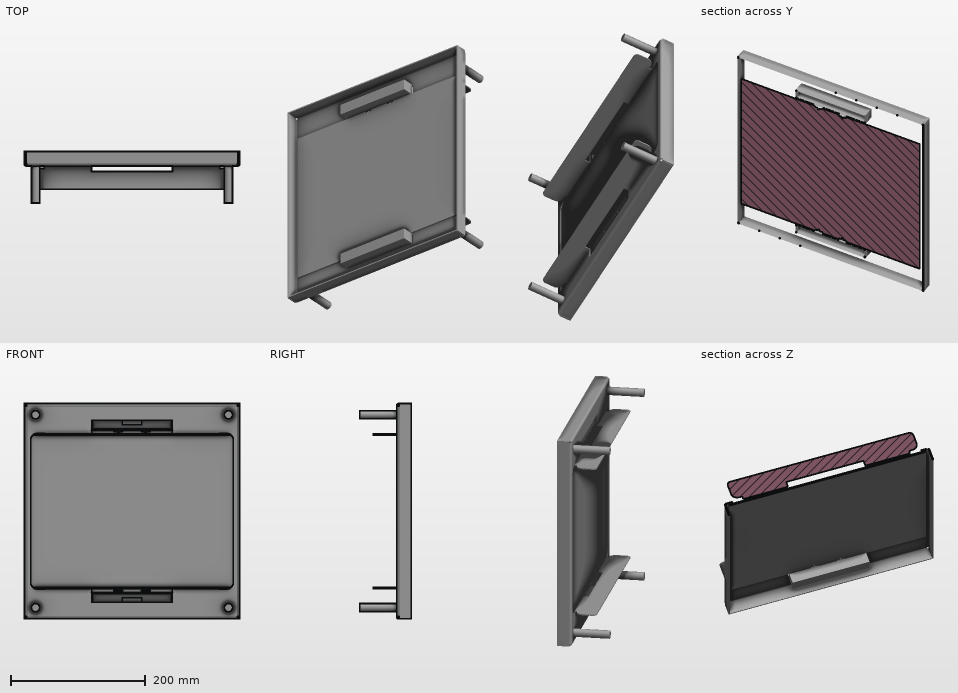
import cadquery as cq


TRAY_SIDE = 320.0
TRAY_DEPTH = 22.0
SHEET = 2.0
TRAY_BEND = 1.5
TRAY_CORNER = TRAY_BEND + SHEET
FLAT_SIDE = TRAY_SIDE - 2 * TRAY_CORNER
CORNER_GAP = 0.3

WINDOW_WIDTH = 301.5
WINDOW_HEIGHT = 231.7
WINDOW_RADIUS = 11.0
NOTCH_WIDTH = 120.0
NOTCH_TOP = 135.0

FLAP_WIDTH = 290.2
FLAP_BEND = 1.0
FLAP_TOP = WINDOW_HEIGHT / 2 - FLAP_BEND
FLAP_BACK = -3.5
FLAP_FRONT = -34.5
FLAP_BACK_RADIUS = 10.0
FLAP_FRONT_RADIUS = 6.0
FLAP_ROOT_WIDTH = 261.0
FLAP_NOTCH_FRONT = -7.7

REAR_PLANE = 3.2

POCKET_FLOOR_TOP = 122.2
POCKET_BOSS_WIDTH = 28.8
POCKET_BOSS_BOTTOM = 128.5
POCKET_BOSS_DEPTH = 2.0

PANEL_WIDTH = 307.2
PANEL_HEIGHT = 240.0
PANEL_THICKNESS = 3.0

CUT_SPACING = 40.5
CUT_WIDTH = 12.0
CUT_DEPTH = 2.0
CUT_STEM_WIDTH = 1.5
CUT_STEM_DEPTH = 3.2

PIN_SPACING = 286.5
PIN_DIAMETER = 12.5
PIN_LENGTH = 55.0


def block(x_range, y_range, z_range):
    """Box filling the given (low, high) ranges."""
    low, high = zip(x_range, y_range, z_range)
    size = [end - start for start, end in zip(low, high)]
    return cq.Workplane("XY").box(*size, centered=False).translate(low)


def centered(width):
    """Range of the given width about zero."""
    return (-width / 2, width / 2)


def both_halves(upper):
    """The upper feature together with its mirror image below Z = 0."""
    return [upper, upper.mirror("XY")]


def bend(length, inner_radius, center, y_range, z_range):
    """Quarter ring of sheet along X: the part of a tube around (Y, Z) center inside the given ranges."""
    tube = (
        cq.Workplane("YZ", origin=(-length / 2, *center))
        .circle(inner_radius + SHEET)
        .circle(inner_radius)
        .extrude(length)
    )
    return tube.intersect(block(centered(length), y_range, z_range))


def make_rim(flange_length):
    """Bend and flange along the upper edge of the tray."""
    flat_edge = FLAT_SIDE / 2
    outside = TRAY_SIDE / 2
    corner = bend(FLAT_SIDE, TRAY_BEND, (TRAY_CORNER, flat_edge), (0, TRAY_CORNER), (flat_edge, outside))
    flange = block(centered(flange_length), (TRAY_CORNER, TRAY_DEPTH), (outside - SHEET, outside))
    return corner.union(flange)


def make_flap():
    """Upper flap with its bend; the notch splits the bend into two roots."""
    underside = FLAP_TOP - SHEET
    window_edge = WINDOW_HEIGHT / 2
    thickness = (underside, FLAP_TOP)
    bend_heights = (underside, window_edge)
    root_bend = bend(FLAP_ROOT_WIDTH, FLAP_BEND, (-FLAP_BEND, window_edge), (-FLAP_BEND, SHEET), bend_heights)
    root = block(centered(FLAP_ROOT_WIDTH), (FLAP_BACK, -FLAP_BEND), thickness)
    blade = block(centered(FLAP_WIDTH), (FLAP_FRONT, FLAP_BACK), thickness)
    blade = blade.edges("|Z and >Y").fillet(FLAP_BACK_RADIUS)
    blade = blade.edges("|Z and <Y").fillet(FLAP_FRONT_RADIUS)
    notch = block(centered(NOTCH_WIDTH), (FLAP_NOTCH_FRONT, SHEET), bend_heights)
    return blade.union(root).union(root_bend).cut(notch)


def make_tray():
    plate_depth = (0, SHEET)
    tray = block(centered(FLAT_SIDE), plate_depth, centered(FLAT_SIDE))
    window = block(centered(WINDOW_WIDTH), plate_depth, centered(WINDOW_HEIGHT))
    tray = tray.cut(window.edges("|Y").fillet(WINDOW_RADIUS))
    tray = tray.cut(block(centered(NOTCH_WIDTH), plate_depth, centered(2 * NOTCH_TOP)))

    between_sides = TRAY_SIDE - 2 * (SHEET + CORNER_GAP)
    for rim in both_halves(make_rim(between_sides)):
        tray = tray.union(rim)
    for rim in both_halves(make_rim(TRAY_SIDE)):
        tray = tray.union(rim.rotate((0, 0, 0), (0, 1, 0), 90))

    for flap in both_halves(make_flap()):
        tray = tray.union(flap)
    return tray


def make_pocket():
    """Upper pocket: an open box with a raised pad at the top of its back wall."""
    back = TRAY_DEPTH - SHEET
    shell = block(
        centered(NOTCH_WIDTH), (REAR_PLANE, TRAY_DEPTH), (POCKET_FLOOR_TOP - SHEET, NOTCH_TOP + SHEET)
    )
    cavity = block(centered(NOTCH_WIDTH - 2 * SHEET), (REAR_PLANE, back), (POCKET_FLOOR_TOP, NOTCH_TOP))
    boss = block(
        centered(POCKET_BOSS_WIDTH), (back - POCKET_BOSS_DEPTH, back), (POCKET_BOSS_BOTTOM, NOTCH_TOP)
    )
    return shell.cut(cavity).union(boss)


def make_panel():
    depth = (REAR_PLANE, REAR_PLANE + PANEL_THICKNESS)
    edge = PANEL_HEIGHT / 2
    bar_bottom = edge - CUT_DEPTH
    panel = block(centered(PANEL_WIDTH), depth, centered(PANEL_HEIGHT))
    bar = block(centered(CUT_WIDTH), depth, (bar_bottom, edge))
    stem = block(centered(CUT_STEM_WIDTH), depth, (bar_bottom - CUT_STEM_DEPTH, edge))
    for cut in both_halves(bar.union(stem)):
        for x in centered(CUT_SPACING):
            panel = panel.cut(cut.translate((x, 0, 0)))
    return panel


def make_pin(x, z):
    return cq.Workplane("XZ", origin=(x, 0, z)).circle(PIN_DIAMETER / 2).extrude(PIN_LENGTH)


tray = make_tray()
panel = make_panel()
pockets = both_halves(make_pocket())
pins = [make_pin(x, z) for x in centered(PIN_SPACING) for z in centered(PIN_SPACING)]

bodies = [tray, panel, *pockets, *pins]
result = cq.Compound.makeCompound([body.val() for body in bodies])